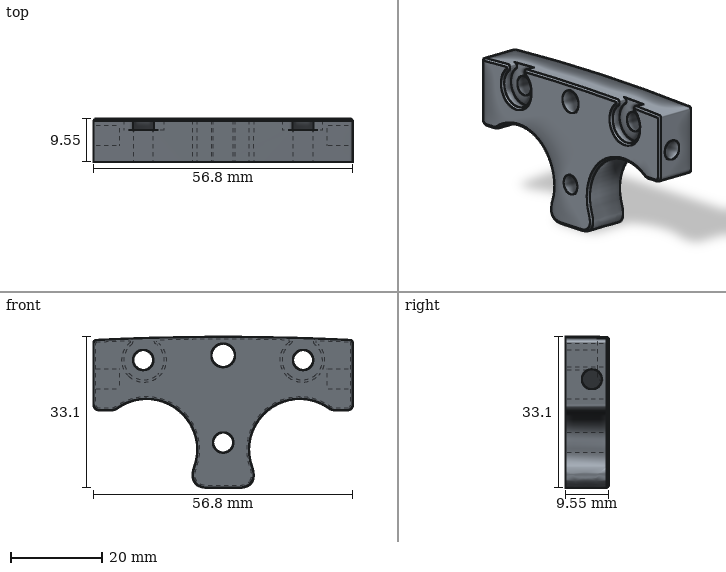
import cadquery as cq
import math

width = 56.75
thickness = 9.55
height = 33.1
half_width = width / 2
back_y = thickness

crown_drop = 0.75
crown_radius = (half_width**2 + crown_drop**2) / (2 * crown_drop)
arm_bottom_z = -16.1
finger_x = 16.75
finger_z = -24.7
finger_radius = 11.05
foot_top_z = -28.45
foot_bulge = (6.35, -31.65)
foot_flat = 3.1
top_corner_radius = 0.75
arm_corner_radius = 1.3
arm_inner_radius = 2.25
back_chamfer = 0.5

small_hole = 4.35
small_hole_x = 17.5
small_hole_z = -5.1
center_hole = 5.1
center_hole_z = -4.1
foot_hole_z = -23.15

pocket_x = 17.3
pocket_radius = 4.35
pocket_depth = 2.55
lip_radius = 0.75

end_hole_z = -9.3
end_hole_y = back_y - 3.75
end_hole_depth = 5.7


def extrude_in_y(sketch, depth):
    """Extrude an XZ sketch toward +Y."""
    return sketch.extrude(-depth)


def half_plate():
    """Left half of the plate, ending at the middle plane, with rounded arm corners."""
    arm_rise = arm_bottom_z - finger_z
    arm_end_x = -finger_x - math.sqrt(finger_radius**2 - arm_rise**2)
    foot_drop = foot_top_z - finger_z
    foot_run = math.sqrt(finger_radius**2 - foot_drop**2)
    arc_middle = math.radians(45)
    recess_middle = (
        -finger_x + finger_radius * math.cos(arc_middle),
        finger_z + finger_radius * math.sin(arc_middle),
    )
    crown_middle_x = -half_width / 2
    crown_middle_z = math.sqrt(crown_radius**2 - crown_middle_x**2) - crown_radius
    outline = (
        cq.Workplane("XZ")
        .moveTo(0, 0)
        .threePointArc((crown_middle_x, crown_middle_z), (-half_width, -crown_drop))
        .lineTo(-half_width, arm_bottom_z)
        .lineTo(arm_end_x, arm_bottom_z)
        .threePointArc(recess_middle, (-finger_x + foot_run, foot_top_z))
        .spline(
            [(-foot_bulge[0], foot_bulge[1]), (-foot_flat, -height)],
            tangents=[(foot_drop, -foot_run), (1, 0)],
            includeCurrent=True,
        )
        .lineTo(0, -height)
        .close()
    )
    half = extrude_in_y(outline, thickness)
    corners = (
        (-half_width, -crown_drop, top_corner_radius),
        (-half_width, arm_bottom_z, arm_corner_radius),
        (arm_end_x, arm_bottom_z, arm_inner_radius),
    )
    for x, z, radius in corners:
        edge = cq.selectors.NearestToPointSelector((x, thickness / 2, z))
        half = half.edges("|Y").edges(edge).fillet(radius)
    return half


def lip_center(side):
    """Centre of a pocket lip, tangent to the crown arc inside and to the pocket circle outside."""
    to_crown = crown_radius - lip_radius
    to_pocket = pocket_radius + lip_radius
    span_x = -pocket_x
    span_z = small_hole_z + crown_radius
    span = math.hypot(span_x, span_z)
    along = (to_crown**2 - to_pocket**2 + span**2) / (2 * span)
    across = side * math.sqrt(to_crown**2 - along**2)
    x = (along * span_x + across * span_z) / span
    z = (along * span_z - across * span_x) / span - crown_radius
    return x, z


def left_pocket():
    """Round pocket with a mouth that widens upward between two convex lips."""
    pocket_center = (-pocket_x, small_hole_z)
    left_lip = lip_center(-1)
    right_lip = lip_center(1)
    floor = (0, back_y - pocket_depth, 0)

    def above(lip):
        """Point outside the top edge, straight out from a lip centre."""
        stretch = (crown_radius + lip_radius) / (crown_radius - lip_radius)
        return lip[0] * stretch, (lip[1] + crown_radius) * stretch - crown_radius

    corners = [pocket_center, left_lip, above(left_lip), above(right_lip), right_lip]
    mouth = cq.Workplane("XZ", origin=floor).polyline(corners).close()
    lips = cq.Workplane("XZ", origin=floor).pushPoints([left_lip, right_lip]).circle(lip_radius)
    mouth = extrude_in_y(mouth, pocket_depth).cut(extrude_in_y(lips, pocket_depth))
    bore = cq.Workplane("XZ", origin=floor).pushPoints([pocket_center]).circle(pocket_radius)
    return extrude_in_y(bore, pocket_depth).union(mouth)


def through_holes():
    """Three small holes and the larger one below the crown."""
    small_places = [(-small_hole_x, small_hole_z), (small_hole_x, small_hole_z), (0, foot_hole_z)]
    small = cq.Workplane("XZ").pushPoints(small_places).circle(small_hole / 2)
    large = cq.Workplane("XZ").center(0, center_hole_z).circle(center_hole / 2)
    return extrude_in_y(small, thickness).union(extrude_in_y(large, thickness))


def left_end_hole():
    """Blind hole running inward from the left end face."""
    end_face = cq.Workplane("YZ", origin=(-half_width, 0, 0))
    return end_face.center(end_hole_y, end_hole_z).circle(small_hole / 2).extrude(end_hole_depth)


left_half = half_plate().cut(left_pocket())
plate = left_half.union(left_half.mirror("YZ")).clean()
back_outline = plate.faces(">Y").val().outerWire().Edges()
plate = plate.newObject(back_outline).chamfer(back_chamfer)

plate = plate.cut(through_holes())
for end_hole in (left_end_hole(), left_end_hole().mirror("YZ")):
    plate = plate.cut(end_hole)

result = plate